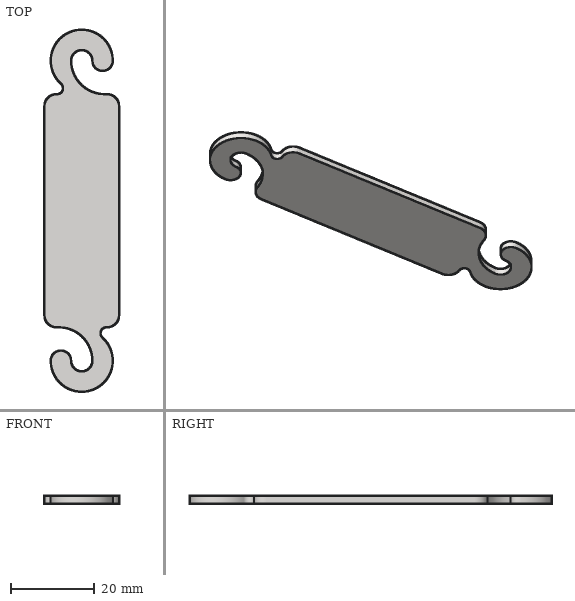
import cadquery as cq
import math

length = 87.0
width = 18.0
thickness = 2.0
body_length = 56.0
corner_radius = 3.0
hook_outer_radius = 7.5
hook_inner_radius = 2.5
neck_fillet_radius = 1.4

body_top = body_length / 2
hook_y = length / 2 - hook_outer_radius
tip_radius = (hook_outer_radius - hook_inner_radius) / 2
throat_radius = hook_y - body_top
throat_x = throat_radius - hook_inner_radius

neck_y = body_top + neck_fillet_radius
neck_distance = hook_outer_radius + neck_fillet_radius
neck_x = -math.sqrt(neck_distance**2 - (hook_y - neck_y) ** 2)
neck_angle = math.atan2(hook_y - neck_y, -neck_x)


def on_circle(x, y, radius, angle):
    return (x + radius * math.cos(angle), y + radius * math.sin(angle))


def arc(outline, x, y, radius, start, end):
    """Extend the outline along a circle, from the start angle to the end angle."""
    middle = on_circle(x, y, radius, (start + end) / 2)
    return outline.threePointArc(middle, on_circle(x, y, radius, end))


def make_body():
    blank = cq.Workplane("XY").rect(width, body_length).extrude(thickness)
    return blank.edges("|Z").fillet(corner_radius)


def make_hook():
    """Upper hook, with a root that overlaps the body."""
    root_y = body_top - corner_radius
    outline = cq.Workplane("XY").moveTo(neck_x, root_y).lineTo(neck_x, body_top)
    outline = arc(outline, neck_x, neck_y, neck_fillet_radius, -math.pi / 2, neck_angle)
    outline = arc(outline, 0, hook_y, hook_outer_radius, math.pi + neck_angle, 0)
    tip_x = hook_inner_radius + tip_radius
    outline = arc(outline, tip_x, hook_y, tip_radius, 0, -math.pi)
    outline = arc(outline, 0, hook_y, hook_inner_radius, 0, math.pi)
    outline = arc(outline, throat_x, hook_y, throat_radius, math.pi, 1.5 * math.pi)
    return outline.lineTo(throat_x, root_y).close().extrude(thickness)


hook = make_hook()
opposite_hook = hook.rotate((0, 0, 0), (0, 0, 1), 180)
result = make_body().union(hook).union(opposite_hook)